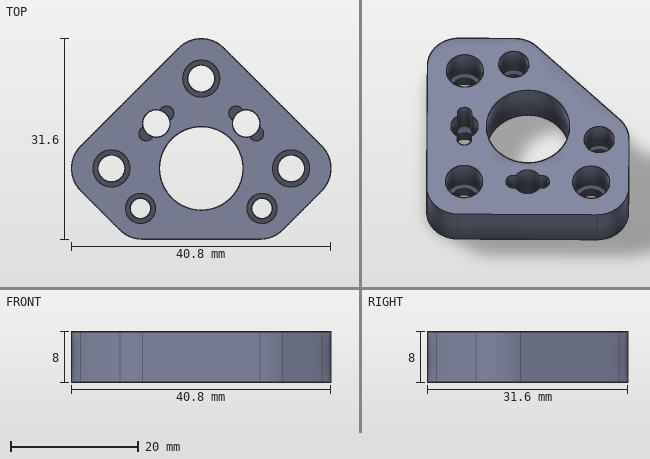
import cadquery as cq

thickness = 8.0
half_width = 20.4
height = 31.55
corner_radius = 5.0
root_two = 2 ** 0.5
corner_reach = half_width + corner_radius * (root_two - 1)
bottom_y = half_width - height
bottom_corner_x = corner_reach + bottom_y

bore_diameter = 13.1
large_screw_radius = 14.12
large_screw_diameter = 4.2
large_head_diameter = 5.85
small_screw_x = 9.55
small_screw_y = -6.3
small_screw_diameter = 3.2
small_head_diameter = 4.75
screw_seat_thickness = 2.0
head_depth = thickness - screw_seat_thickness

slotted_hole_offset = large_screw_radius / 2
slotted_hole_diameter = 4.3
slot_width = 2.3
slot_length = 6.8
slot_depth = head_depth


def plate():
    outline = [
        (0, corner_reach),
        (-corner_reach, 0),
        (-bottom_corner_x, bottom_y),
        (bottom_corner_x, bottom_y),
        (corner_reach, 0),
    ]
    body = cq.Workplane("XY").polyline(outline).close().extrude(thickness)
    return body.edges("|Z").fillet(corner_radius)


def counterbored_holes(body, points, diameter, head_diameter):
    top = body.faces(">Z").workplane(origin=(0, 0, thickness))
    return top.pushPoints(points).cboreHole(diameter, head_diameter, head_depth)


def slotted_hole(body, side):
    centre = (side * slotted_hole_offset, slotted_hole_offset)
    top = body.faces(">Z").workplane(origin=(0, 0, thickness))
    body = top.pushPoints([centre]).slot2D(slot_length, slot_width, -side * 45).cutBlind(-slot_depth)
    top = body.faces(">Z").workplane(origin=(0, 0, thickness))
    return top.pushPoints([centre]).hole(slotted_hole_diameter)


result = plate()
result = result.faces(">Z").workplane(origin=(0, 0, thickness)).hole(bore_diameter)

large_screw_points = [(-large_screw_radius, 0), (0, large_screw_radius), (large_screw_radius, 0)]
result = counterbored_holes(result, large_screw_points, large_screw_diameter, large_head_diameter)

small_screw_points = [(side * small_screw_x, small_screw_y) for side in (-1, 1)]
result = counterbored_holes(result, small_screw_points, small_screw_diameter, small_head_diameter)

for side in (-1, 1):
    result = slotted_hole(result, side)